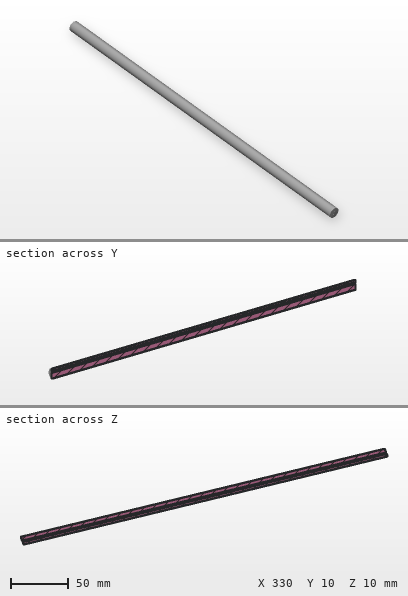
import cadquery as cq

ROD_LENGTH = 330.0
ROD_DIAMETER = 10.0
CHAMFER = 0.5

CHANNEL_COUNT = 2
CHANNEL_DIAMETER = 1.0
CHANNEL_PITCH_DIAMETER = 3.5
CHANNEL_ANGLE = 66.0


def start_plane():
    """Workplane on the -X end, with +X as its normal."""
    return cq.Workplane("YZ", origin=(-ROD_LENGTH / 2, 0, 0))


def make_rod():
    """Solid cylinder with its -X rim chamfered."""
    rod = start_plane().circle(ROD_DIAMETER / 2).extrude(ROD_LENGTH)
    return rod.faces("<X").edges().chamfer(CHAMFER)


def make_channels():
    """Straight cylinders running the full length of the rod."""
    return (
        start_plane()
        .polarArray(CHANNEL_PITCH_DIAMETER / 2, CHANNEL_ANGLE, 360, CHANNEL_COUNT)
        .circle(CHANNEL_DIAMETER / 2)
        .extrude(ROD_LENGTH)
    )


result = make_rod().cut(make_channels())